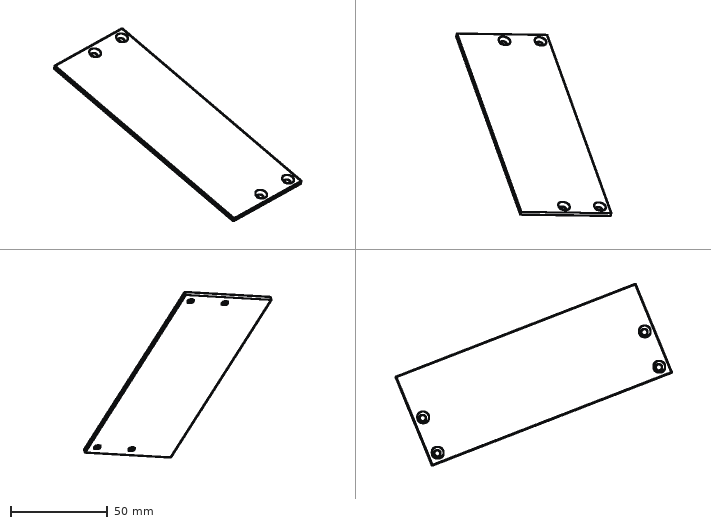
import cadquery as cq

plate_length = 135.0
plate_width = 50.0
plate_thickness = 2.0
tilt_angle = 15.0

hole_diameter = 3.2
countersink_diameter = 6.2
hole_end_margin = 5.0
hole_edge_margin = 5.0
hole_row_spacing = 20.0

hole_x = plate_length / 2 - hole_end_margin
outer_row_y = plate_width / 2 - hole_edge_margin
inner_row_y = outer_row_y - hole_row_spacing
hole_centers = [(x, y) for x in (-hole_x, hole_x) for y in (inner_row_y, outer_row_y)]

plate = cq.Workplane("XY").box(plate_length, plate_width, plate_thickness)

countersink = cq.Workplane("XY").add(
    cq.Solid.makeCone(
        hole_diameter / 2,
        countersink_diameter / 2,
        plate_thickness,
        pnt=cq.Vector(0, 0, -plate_thickness / 2),
    )
)
for x, y in hole_centers:
    plate = plate.cut(countersink.translate((x, y, 0)))

result = plate.rotate((0, 0, 0), (1, 0, 0), -tilt_angle)